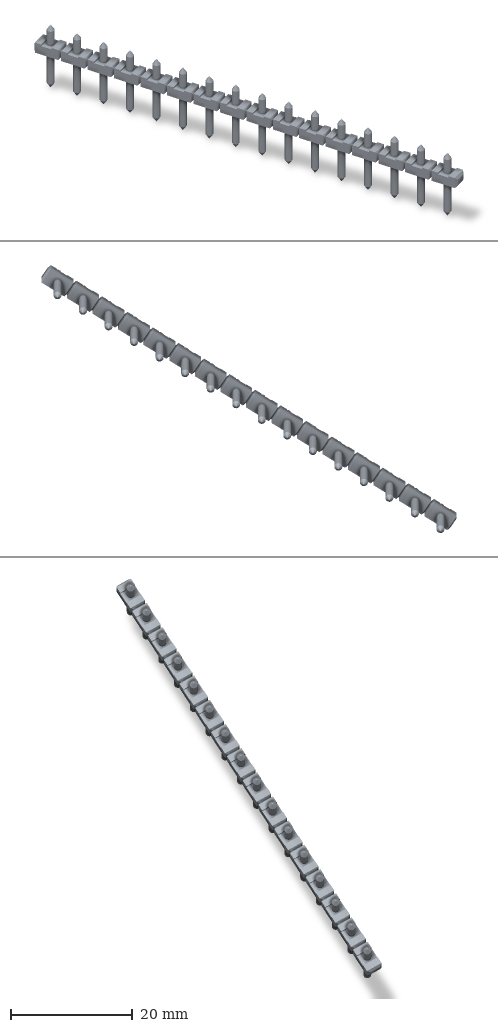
import cadquery as cq

pin_count = 16
pitch = 5.0

block_depth = 2.8
block_height = 2.0
bevel_run = 0.3
bevel_inset = 0.5

channel_width = 2.0
channel_depth = 0.3

pin_diameter = 1.3
pin_length = 12.5
pin_drop = 7.0
tip_length = 1.0


def bevelled_outline(plane, width):
    """Outline centred on the plane's origin, one pitch long, narrowed at both ends."""
    end = pitch / 2
    shoulder = end - bevel_run
    side = width / 2
    end_side = side - bevel_inset
    return (
        cq.Workplane(plane)
        .moveTo(-end, -end_side)
        .lineTo(-shoulder, -side)
        .lineTo(shoulder, -side)
        .lineTo(end, -end_side)
        .lineTo(end, end_side)
        .lineTo(shoulder, side)
        .lineTo(-shoulder, side)
        .lineTo(-end, end_side)
        .close()
    )


def make_block():
    """One insulator block with bevelled ends and a channel across its top."""
    plan = bevelled_outline("XY", block_depth).extrude(block_height / 2, both=True)
    elevation = bevelled_outline("XZ", block_height).extrude(block_depth / 2, both=True)
    block = plan.intersect(elevation).translate((0, 0, block_height / 2))
    channel = (
        cq.Workplane("XY")
        .workplane(offset=block_height - channel_depth)
        .box(channel_width, block_depth, channel_depth, centered=(True, True, False))
    )
    return block.cut(channel)


def make_pin():
    """One pin, revolved about the Z axis from its half profile."""
    radius = pin_diameter / 2
    bottom = -pin_drop
    top = bottom + pin_length
    return (
        cq.Workplane("XZ")
        .moveTo(0, bottom)
        .lineTo(radius, bottom + tip_length)
        .lineTo(radius, top - tip_length)
        .lineTo(0, top)
        .close()
        .revolve(360, (0, 0, 0), (0, 1, 0))
    )


def make_header():
    """All the blocks and pins of the row, joined end to end along X."""
    unit = make_block().union(make_pin())
    first_x = -(pin_count - 1) * pitch / 2
    header = unit.translate((first_x, 0, 0))
    for index in range(1, pin_count):
        header = header.union(unit.translate((first_x + index * pitch, 0, 0)))
    return header


result = make_header()